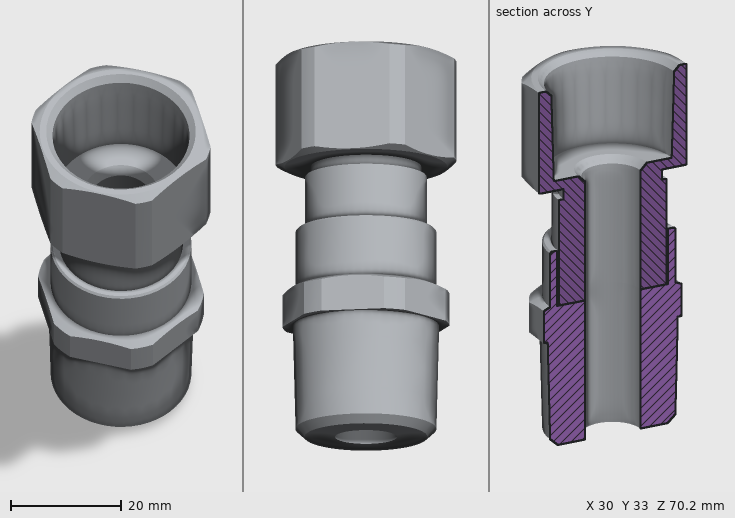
import cadquery as cq

TOTAL_LENGTH = 70.25
THREAD_TOP_Z = 20.6
HEX_TOP_Z = 27.55
COLLAR_TOP_Z = 38.4
SLEEVE_TOP_Z = 48.3
HEAD_HEIGHT = 20.0
HEAD_BOTTOM_Z = TOTAL_LENGTH - HEAD_HEIGHT

THREAD_TIP_RADIUS = 11.2
THREAD_SMALL_RADIUS = 12.8
THREAD_LARGE_RADIUS = 13.3
THREAD_CHAMFER_HEIGHT = 1.5
HOUSING_HEX_FLATS = 28.1
HOUSING_HEX_CORNER_RADIUS = 15.2
HOUSING_HEX_CHAMFER_HEIGHT = 1.05
COLLAR_RADIUS = 12.8
COLLAR_CHAMFER = 0.35

SLEEVE_RADIUS = 11.0
SLEEVE_CLEARANCE = 0.2
NECK_RADIUS = 10.05
HEAD_HEX_FLATS = 30.0
HEAD_HEX_CORNER_RADIUS = 16.5
HEAD_FACE_RADIUS = 14.75
HEAD_CHAMFER_HEIGHT = 0.8

SOCKET_DEPTH = 18.0
SOCKET_MOUTH_RADIUS = 13.55
SOCKET_LARGE_RADIUS = 12.4
SOCKET_SMALL_RADIUS = 11.95
SOCKET_CHAMFER_HEIGHT = 1.1
SOCKET_FLOOR_Z = TOTAL_LENGTH - SOCKET_DEPTH

BORE_RADIUS = 5.6
BORE_MOUTH_RADIUS = 6.95
BORE_CHAMFER_HEIGHT = BORE_MOUTH_RADIUS - BORE_RADIUS


def revolve_profile(points):
    """Turn a closed (radius, z) outline about the Z axis."""
    return cq.Workplane("XZ").polyline(points).close().revolve(360, (0, 0), (0, 1))


def cylinder(radius, bottom, top):
    return cq.Workplane("XY").workplane(offset=bottom).circle(radius).extrude(top - bottom)


def hex_prism(flats, bottom, top):
    """Hexagon with two flats facing +X and -X."""
    height = top - bottom
    return cq.Workplane("XY").workplane(offset=bottom).polygon(6, flats, circumscribed=True).extrude(height)


def make_housing():
    threaded_end = revolve_profile([
        (0, 0),
        (THREAD_TIP_RADIUS, 0),
        (THREAD_SMALL_RADIUS, THREAD_CHAMFER_HEIGHT),
        (THREAD_LARGE_RADIUS, THREAD_TOP_Z),
        (0, THREAD_TOP_Z),
    ])
    corner_envelope = revolve_profile([
        (0, THREAD_TOP_Z),
        (HOUSING_HEX_CORNER_RADIUS, THREAD_TOP_Z),
        (HOUSING_HEX_CORNER_RADIUS, HEX_TOP_Z - HOUSING_HEX_CHAMFER_HEIGHT),
        (COLLAR_RADIUS, HEX_TOP_Z),
        (0, HEX_TOP_Z),
    ])
    hexagon = hex_prism(HOUSING_HEX_FLATS, THREAD_TOP_Z, HEX_TOP_Z).intersect(corner_envelope)
    collar = cylinder(COLLAR_RADIUS, HEX_TOP_Z, COLLAR_TOP_Z).faces(">Z").edges().chamfer(COLLAR_CHAMFER)
    bore = cylinder(BORE_RADIUS, 0, HEX_TOP_Z)
    sleeve_seat = cylinder(SLEEVE_RADIUS + SLEEVE_CLEARANCE, HEX_TOP_Z, COLLAR_TOP_Z)
    return threaded_end.union(hexagon).union(collar).cut(bore).cut(sleeve_seat)


def make_stem():
    corner_envelope = revolve_profile([
        (0, HEAD_BOTTOM_Z),
        (HEAD_FACE_RADIUS, HEAD_BOTTOM_Z),
        (HEAD_HEX_CORNER_RADIUS, HEAD_BOTTOM_Z + HEAD_CHAMFER_HEIGHT),
        (HEAD_HEX_CORNER_RADIUS, TOTAL_LENGTH - HEAD_CHAMFER_HEIGHT),
        (HEAD_FACE_RADIUS, TOTAL_LENGTH),
        (0, TOTAL_LENGTH),
    ])
    head = hex_prism(HEAD_HEX_FLATS, HEAD_BOTTOM_Z, TOTAL_LENGTH).intersect(corner_envelope)
    neck = cylinder(NECK_RADIUS, SLEEVE_TOP_Z, HEAD_BOTTOM_Z)
    sleeve = cylinder(SLEEVE_RADIUS, HEX_TOP_Z, SLEEVE_TOP_Z)
    cavity = revolve_profile([
        (0, HEX_TOP_Z),
        (BORE_RADIUS, HEX_TOP_Z),
        (BORE_RADIUS, SOCKET_FLOOR_Z - BORE_CHAMFER_HEIGHT),
        (BORE_MOUTH_RADIUS, SOCKET_FLOOR_Z),
        (SOCKET_SMALL_RADIUS, SOCKET_FLOOR_Z),
        (SOCKET_LARGE_RADIUS, TOTAL_LENGTH - SOCKET_CHAMFER_HEIGHT),
        (SOCKET_MOUTH_RADIUS, TOTAL_LENGTH),
        (0, TOTAL_LENGTH),
    ])
    return head.union(neck).union(sleeve).cut(cavity)


housing = make_housing()
stem = make_stem()
result = cq.Compound.makeCompound([housing.val(), stem.val()])